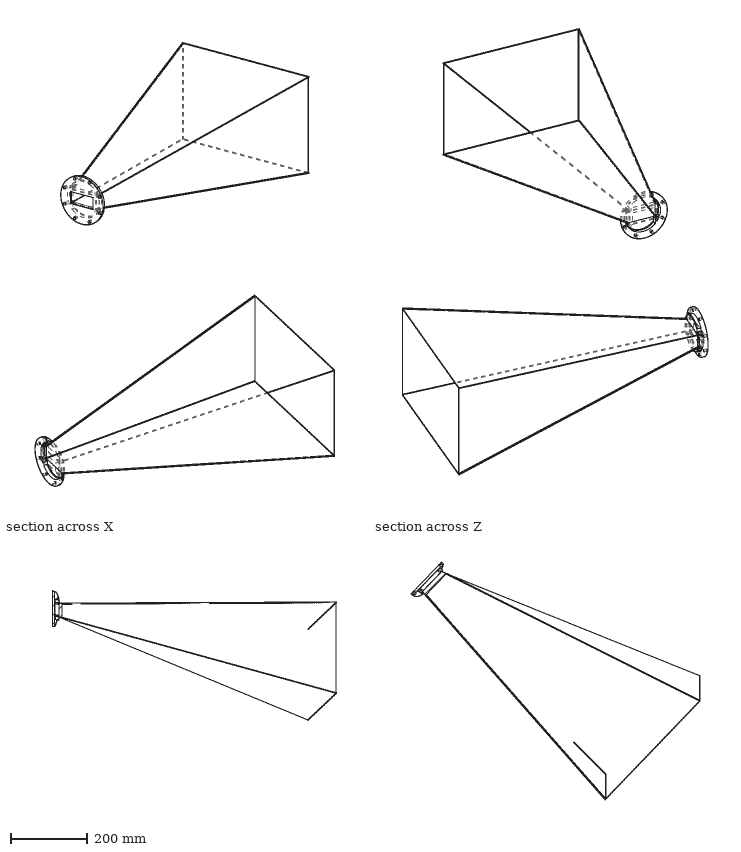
import cadquery as cq

TOTAL_LENGTH = 755.65
MOUTH_WIDTH = 401.73
MOUTH_HEIGHT = 275.74
SHEET = 2.38
PANEL_LIP = 0.6

GUIDE_WIDTH = 72.14
GUIDE_HEIGHT = 34.04

FLANGE_DIAMETER = 134.94
FLANGE_THICKNESS = 7.94
BOLT_HOLE_DIAMETER = 6.58
BOLT_CIRCLE_DIAMETER = 120.65
BOLT_COUNT = 8
FLANGE_RIM_RADIUS = 1.59

HUB_DIAMETER = 102.4
HUB_LENGTH = 11.4
HUB_RIM_CHAMFER = 1.59

THROAT_Y = FLANGE_THICKNESS
THROAT_HALF_WIDTH = GUIDE_WIDTH / 2
THROAT_HALF_HEIGHT = GUIDE_HEIGHT / 2
MOUTH_HALF_WIDTH = MOUTH_WIDTH / 2 - PANEL_LIP - SHEET
MOUTH_HALF_HEIGHT = MOUTH_HEIGHT / 2 - SHEET

HORN_LENGTH = TOTAL_LENGTH - THROAT_Y
WIDTH_SLOPE = (MOUTH_HALF_WIDTH - THROAT_HALF_WIDTH) / HORN_LENGTH
HEIGHT_SLOPE = (MOUTH_HALF_HEIGHT - THROAT_HALF_HEIGHT) / HORN_LENGTH


def cylinder(diameter, start_y, length):
    """Solid cylinder on the Y axis, growing toward +Y."""
    plane = cq.Workplane("XZ", origin=(0, start_y, 0))
    return plane.circle(diameter / 2).extrude(-length)


def tapered_block(extra_width, extra_height):
    """Horn cavity enlarged on each side by the given amounts."""
    throat_width = 2 * (THROAT_HALF_WIDTH + extra_width)
    throat_height = 2 * (THROAT_HALF_HEIGHT + extra_height)
    mouth_width = 2 * (MOUTH_HALF_WIDTH + extra_width)
    mouth_height = 2 * (MOUTH_HALF_HEIGHT + extra_height)
    return (
        cq.Workplane("XZ", origin=(0, THROAT_Y, 0))
        .rect(throat_width, throat_height)
        .workplane(offset=-HORN_LENGTH)
        .rect(mouth_width, mouth_height)
        .loft(ruled=True)
    )


def make_horn():
    """Four flat panels; the top and bottom ones overhang the side ones."""
    cavity = tapered_block(0, 0)
    wide_block = tapered_block(SHEET + PANEL_LIP, SHEET)
    between_panels = tapered_block(SHEET + PANEL_LIP, 0)
    side_body = tapered_block(SHEET, 0)
    top_and_bottom = wide_block.cut(between_panels)
    return top_and_bottom.union(side_body).cut(cavity)


def make_flange():
    """Round plate with a ring of bolt holes and the waveguide opening."""
    bolt_holes = (
        cq.Workplane("XZ")
        .polarArray(BOLT_CIRCLE_DIAMETER / 2, 180 / BOLT_COUNT, 360, BOLT_COUNT)
        .circle(BOLT_HOLE_DIAMETER / 2)
        .extrude(-FLANGE_THICKNESS)
    )
    opening = cq.Workplane("XZ").rect(GUIDE_WIDTH, GUIDE_HEIGHT).extrude(-FLANGE_THICKNESS)
    plate = cylinder(FLANGE_DIAMETER, 0, FLANGE_THICKNESS)
    plate = plate.faces(">Y").edges().fillet(FLANGE_RIM_RADIUS)
    return plate.cut(bolt_holes).cut(opening)


def make_hub():
    """Round hub with straight slots, each as wide as a sloping panel sweeps over its length."""
    side_slot = SHEET + WIDTH_SLOPE * HUB_LENGTH
    level_slot = SHEET + HEIGHT_SLOPE * HUB_LENGTH
    side_slot_centre = THROAT_HALF_WIDTH + side_slot / 2
    level_slot_centre = THROAT_HALF_HEIGHT + level_slot / 2
    middle_y = THROAT_Y + HUB_LENGTH / 2

    hub = cylinder(HUB_DIAMETER, THROAT_Y, HUB_LENGTH)
    hub = hub.faces(">Y").edges().chamfer(HUB_RIM_CHAMFER)
    hub = hub.cut(tapered_block(0, 0))
    for side in (-1, 1):
        upright = cq.Workplane("XY").box(side_slot, HUB_LENGTH, HUB_DIAMETER)
        level = cq.Workplane("XY").box(HUB_DIAMETER, HUB_LENGTH, level_slot)
        hub = hub.cut(upright.translate((side * side_slot_centre, middle_y, 0)))
        hub = hub.cut(level.translate((0, middle_y, side * level_slot_centre)))
    return hub


result = make_flange().union(make_hub()).union(make_horn())